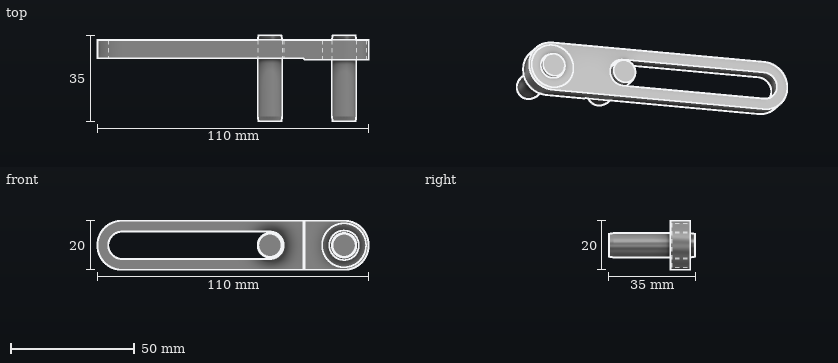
import cadquery as cq

link_length = 110.0
link_width = 20.0
end_radius = link_width / 2
link_thickness = 7.5
pad_step = 0.5
pad_thickness = link_thickness + pad_step
pad_length = 26.0
pivot_x = link_length / 2 - end_radius

slot_width = 11.0
slot_left_x = -pivot_x
pin_spacing = 30.0
slot_right_x = pivot_x - pin_spacing

bushing_diameter = 17.8
bushing_bore = 10.0
hub_diameter = 12.0
rim_recess = 0.2

pin_diameter = bushing_bore
pin_length = 35.0
pin_protrusion = 2.0
taper_length = 2.0
taper_depth = 0.3


def cylinder(x, diameter, rear_y, length):
    """Cylinder whose axis runs from rear_y toward -Y."""
    return cq.Workplane("XZ", origin=(x, rear_y, 0)).circle(diameter / 2).extrude(length)


def make_link():
    blank = (
        cq.Workplane("XZ")
        .slot2D(link_length, link_width)
        .extrude(pad_thickness)
    )
    pad_x = link_length / 2 - pad_length
    side_profile = (
        cq.Workplane("XY", origin=(0, 0, -link_width / 2))
        .polyline([
            (-link_length / 2, 0),
            (link_length / 2, 0),
            (link_length / 2, -pad_thickness),
            (pad_x, -pad_thickness),
            (pad_x - pad_step, -link_thickness),
            (-link_length / 2, -link_thickness),
        ])
        .close()
        .extrude(link_width)
    )
    slot_centres = slot_right_x - slot_left_x
    slot_cutter = (
        cq.Workplane("XZ", origin=((slot_left_x + slot_right_x) / 2, 0, 0))
        .slot2D(slot_centres + slot_width, slot_width)
        .extrude(pad_thickness)
    )
    bushing_seat = cylinder(pivot_x, bushing_diameter, 0, pad_thickness)
    return blank.intersect(side_profile).cut(slot_cutter).cut(bushing_seat)


def make_bushing():
    rim = cylinder(pivot_x, bushing_diameter, 0, pad_thickness - rim_recess)
    hub = cylinder(pivot_x, hub_diameter, 0, pad_thickness)
    bore = cylinder(pivot_x, bushing_bore, 0, pad_thickness)
    return rim.union(hub).cut(bore)


def make_pin(x):
    """Round pin with a slender taper at each end."""
    radius = pin_diameter / 2
    tip_radius = radius - taper_depth
    half_profile = (
        cq.Workplane("XY", origin=(x, pin_protrusion, 0))
        .polyline([
            (0, 0),
            (tip_radius, 0),
            (radius, -taper_length),
            (radius, taper_length - pin_length),
            (tip_radius, -pin_length),
            (0, -pin_length),
        ])
        .close()
    )
    return half_profile.revolve(360, (0, 0, 0), (0, 1, 0))


link = make_link()
bushing = make_bushing()
pins = [make_pin(x) for x in (slot_right_x, pivot_x)]

result = cq.Compound.makeCompound([link.val(), bushing.val(), *[pin.val() for pin in pins]])